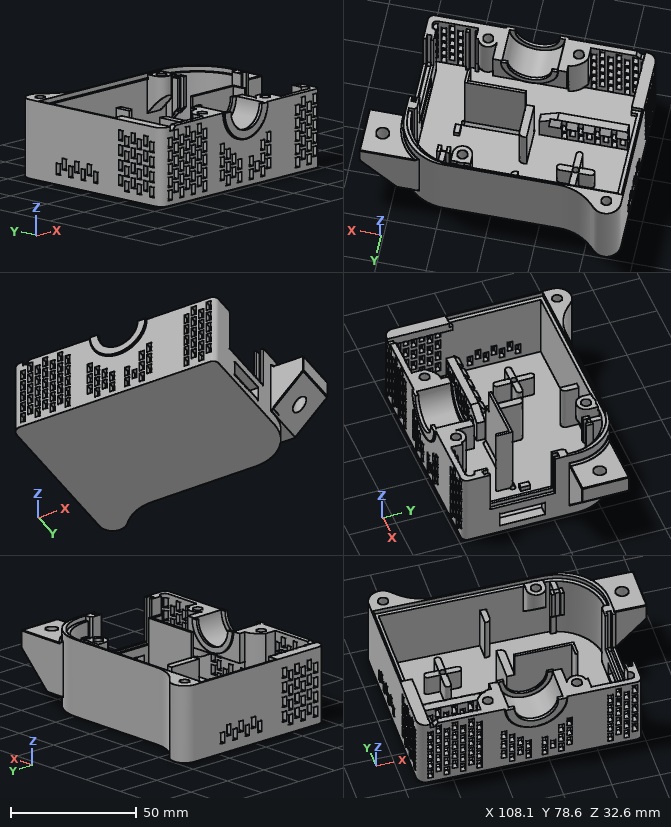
import cadquery as cq
import math

HEIGHT = 32.55
LENGTH = 93.2
DEPTH = 68.3
FLOOR = 2.0
WALL = 2.5
REAR_WALL = 2.2
FRONT_LEFT_RADIUS = 4.0
FRONT_RIGHT_RADIUS = 2.5
REAR_RIGHT_RADIUS = 20.0
SIN45 = math.sqrt(0.5)

EAR_RADIUS = 6.0
EAR_Y = 71.8
EAR_SWEEP_RADIUS = 20.0

SCREW_DIAMETER = 4.1
SCREW_DEPTH = 7.5

RIM = 0.7
RIM_RIGHT = 1.1
REBATE_DEPTH = 2.0
REBATE_CORNER_RADIUS = 21.0
REBATE_FRONT = 26.5
LIP_WIDTH = 5.0
LIP_BACK = 27.9
LIP_THICKNESS = 4.0
NOTCH_FLAT_END = 6.4
NOTCH_DEPTH = 1.8

SADDLE_X = 48.85
SADDLE_BACK = 16.3
SADDLE_FRONT = 0.79
SADDLE_FLANGE_RADIUS = 13.0
SADDLE_FLANGE_CHAMFER = 0.4
SADDLE_SHELL_RADIUS = 11.7
SADDLE_BORE_RADIUS = 11.3
SADDLE_MOUTH_RADIUS = 9.1
SADDLE_END_PLATE = 1.1
SADDLE_BORE_START = 0.65
SADDLE_BLOCK_HALF = 15.1
SADDLE_BLOCK_BACK = 15.5
SADDLE_BLOCK_BOTTOM = 20.0

FRONT_LEFT_BOSS = (30.7, 6.5)
FRONT_RIGHT_BOSS = (67.7, 6.4)
FRONT_RIGHT_BOSS_SIDE = 72.6
FRONT_RIGHT_BOSS_SHOULDER = 7.4
BOSS_RADIUS = 4.0
REAR_BOSS = (66.7, 62.0)
REAR_BOSS_CLEARANCE = 0.4
REAR_BOSS_FOOT = 16.5
FRONT_BOSS_BOTTOM = 13.6
LEFT_BOSS_ARC = ((26.6, 7.85), (29.2, 10.8), (32.8, 12.5))

POST_X = 88.9
POST_BACK = 44.9
POST_CHAMFER = 0.9
OPENING_FRONT = 11.7
OPENING_BACK = 39.2
SILL = 13.7
GROOVE_X = 90.0
GROOVE_WIDTH = 1.9
GROOVE_OVERRUN = 2.2
GROOVE_DEPTH = 3.0
GROOVE_CHAMFER = 1.1
RELIEF_RADIUS = 2.0
WINDOW_INSET = 4.1
WINDOW_BOTTOM = 3.4
WINDOW_HEIGHT = 6.4

BRACKET_END = 108.1
BRACKET_FRONT = 45.3
BRACKET_BACK = 65.4
BRACKET_TOP = 27.4
BRACKET_TIP = 19.8
BRACKET_HOLE = (100.6, 55.5)
BRACKET_HOLE_DIAMETER = 5.3
BRACKET_CHAMFER = 0.3
PAD_THICKNESS = 1.0
PAD_BOTTOM = 5.0
PAD_TOP = 28.3
PAD_CHAMFER = 0.8

PLATE_X = 44.6
PLATE_TOP = 22.0
FRONT_PLATE_WIDTH = 3.3
FRONT_PLATE_END = 42.5
REAR_PLATE_WIDTH = 2.6
REAR_PLATE_END = 59.0
PLATE_CORNER_RADIUS = 1.9
SCREEN_Y = 27.5
SCREEN_THICKNESS = 1.1
SCREEN_RIGHT = 72.7
SCREEN_RETURN_END = 21.8
SCREEN_TIP_RADIUS = 0.54
SCREEN_FOOT = 1.2

CROSS = (23.6, 47.0)
CROSS_SPAN_X = 15.4
CROSS_SPAN_Y = 17.2
CROSS_WIDTH = 2.7
CROSS_TOP = 11.4
CROSS_CORE_DIAMETER = 4.0
CROSS_HOLE_DIAMETER = 2.6

PARTITION_START = 6.5
PARTITION_FLAT_END = 35.1
PARTITION_END = 42.5
PARTITION_FRONT = 24.4
PARTITION_THICKNESS = 3.5
PARTITION_TOP = 15.3
PARTITION_END_TOP = 11.7
PARTITION_VENT_COLUMNS = 8
CATCH_COUNT = 5
CATCH_FIRST = 6.0
CATCH_PITCH = 6.8
CATCH_WIDTH = 4.8
CATCH_REACH = 2.25

GUIDE_X = 74.75
GUIDE_SLOT = 2.3
GUIDE_WIDTH = 5.1
GUIDE_BLOCK_FRONT = 58.3
GUIDE_SLOT_END = 61.2
GUIDE_TOP = 30.5
GUIDE_BOTTOM = 18.0
GUIDE_WEB = 1.3
GUIDE_LEAD_IN = 1.0
STEM_REACH = 1.5
FRONT_GUIDE_BACK = 3.9
STOP_Y = 33.0
STOP_LENGTH = 4.0
STOP_TOP = 4.0

VENT_WIDTH = 2.1
VENT_COLUMN_PITCH = 3.4
FRONT_VENT_X = 5.05
FRONT_VENT_Z = 4.35
FRONT_VENT_HEIGHT = 4.1
FRONT_VENT_ROW_PITCH = 5.4
FRONT_VENT_DEPTH = 3.5
LEFT_VENT_COLUMNS = 6
LEFT_VENT_ROWS = 4
LEFT_VENT_Y = 5.5
LEFT_VENT_Z = 5.6
LEFT_VENT_HEIGHT = 4.2
LEFT_VENT_ROW_PITCH = 6.17
LEFT_VENT_STAGGER = 1.95
LOW_VENT_COLUMNS = 7
LOW_VENT_Y = 36.1
LOW_VENT_Z = 6.5
LOW_VENT_HEIGHT = 4.6
LOW_VENT_STAGGER = 2.5
FRONT_VENT_STACKS = {
    **{column: 5 for column in range(7)},
    9: 3, 10: 3, 11: 2, 12: 2,
    14: 2, 15: 1, 16: 3, 17: 3,
    **{column: 5 for column in range(22, 26)},
}


def box(x0, x1, y0, y1, z0, z1):
    """Box between opposite corners."""
    return cq.Workplane("XY").box(x1 - x0, y1 - y0, z1 - z0, centered=False).translate((x0, y0, z0))


def cylinder_z(center, radius, z0, z1):
    """Upright cylinder."""
    return cq.Workplane("XY").workplane(offset=z0).center(*center).circle(radius).extrude(z1 - z0)


def cylinder_y(radius, y0, y1):
    """Cylinder along Y on the saddle axis."""
    return cq.Workplane("XZ", origin=(SADDLE_X, y0, HEIGHT)).circle(radius).extrude(y0 - y1)


def prism_x(points, x0, x1):
    """Prism along X from a (Y, Z) outline."""
    return cq.Workplane("YZ", origin=(x0, 0, 0)).polyline(points).close().extrude(x1 - x0)


def prism_y(points, y0, y1):
    """Prism along Y from an (X, Z) outline."""
    return cq.Workplane("XZ", origin=(0, y0, 0)).polyline(points).close().extrude(y0 - y1)


def rear_undercut(face_y, foot):
    """Wedge below a 45 degree underside that rises forwards from a foot at face_y."""
    reach = HEIGHT
    outline = [(face_y, 0), (face_y, foot), (face_y - reach, foot + reach), (face_y - reach, 0)]
    return prism_x(outline, 0, LENGTH)


def body_block():
    """Solid outer form with the ear swept into the rear wall."""
    ear_tangent = EAR_RADIUS * SIN45
    sweep = EAR_SWEEP_RADIUS
    line_sum = EAR_RADIUS + EAR_Y + 2 * ear_tangent
    sweep_x = line_sum - DEPTH + sweep * (1 / SIN45 - 1)
    sweep_y = DEPTH + sweep
    rear = REAR_RIGHT_RADIUS
    sweep_middle = math.radians(270 - 45 / 2)
    return (
        cq.Workplane("XY")
        .moveTo(0, 0)
        .lineTo(LENGTH, 0)
        .lineTo(LENGTH, DEPTH - rear)
        .radiusArc((LENGTH - rear, DEPTH), -rear)
        .lineTo(sweep_x, DEPTH)
        .threePointArc(
            (sweep_x + sweep * math.cos(sweep_middle), sweep_y + sweep * math.sin(sweep_middle)),
            (sweep_x - sweep * SIN45, sweep_y - sweep * SIN45),
        )
        .lineTo(EAR_RADIUS + ear_tangent, EAR_Y + ear_tangent)
        .threePointArc((EAR_RADIUS, EAR_Y + EAR_RADIUS), (0, EAR_Y))
        .close()
        .extrude(HEIGHT)
        .edges(cq.selectors.NearestToPointSelector((0, 0, HEIGHT / 2)))
        .fillet(FRONT_LEFT_RADIUS)
        .edges(cq.selectors.NearestToPointSelector((LENGTH, 0, HEIGHT / 2)))
        .fillet(FRONT_RIGHT_RADIUS)
    )


def inset_block(left, right, front, back, bottom, corner_radius):
    """Block reaching the top, with a rounded rear right corner."""
    block = box(left, right, front, back, bottom, HEIGHT)
    return block.edges("|Z and >X and >Y").fillet(corner_radius)


def cavity():
    """Interior space, narrowed by the thick right-hand post and the front left lip."""
    space = inset_block(WALL, LENGTH - WALL, WALL, DEPTH - REAR_WALL, FLOOR, REAR_RIGHT_RADIUS)
    post = box(POST_X, LENGTH, 0, POST_BACK, FLOOR, HEIGHT)
    post = post.edges("|Z and <X and >Y").chamfer(POST_CHAMFER)
    relief = cylinder_z((POST_X, WALL + RELIEF_RADIUS), RELIEF_RADIUS, FLOOR, HEIGHT)
    lip = box(0, LIP_WIDTH, 0, LIP_BACK, HEIGHT - LIP_THICKNESS, HEIGHT)
    return space.cut(post).union(relief).cut(lip)


def lid_rebate():
    """Step around the rear of the rim."""
    bottom = HEIGHT - REBATE_DEPTH
    ring = inset_block(RIM, LENGTH - RIM_RIGHT, REBATE_FRONT, DEPTH - RIM, bottom, REBATE_CORNER_RADIUS)
    front_right = box(LIP_WIDTH, LENGTH, 0, POST_BACK, 0, HEIGHT)
    return ring.cut(front_right)


def lip_notch():
    """Shallow notch through the front wall next to the lip, with one sloping end."""
    bottom = HEIGHT - NOTCH_DEPTH
    outline = [
        (LIP_WIDTH, HEIGHT),
        (LIP_WIDTH, bottom),
        (NOTCH_FLAT_END, bottom),
        (NOTCH_FLAT_END + NOTCH_DEPTH, HEIGHT),
    ]
    return prism_y(outline, 0, WALL)


def front_boss_block():
    """Saddle block with a flat-bottomed screw boss on each side."""
    block_left = SADDLE_X - SADDLE_BLOCK_HALF
    block_right = SADDLE_X + SADDLE_BLOCK_HALF
    arc_start, arc_middle, arc_end = LEFT_BOSS_ARC
    left_boss = (
        cq.Workplane("XY")
        .workplane(offset=FRONT_BOSS_BOTTOM)
        .moveTo(arc_start[0], 0)
        .lineTo(*arc_start)
        .threePointArc(arc_middle, arc_end)
        .lineTo(block_left, arc_end[1])
        .lineTo(block_left, 0)
        .close()
        .extrude(HEIGHT - FRONT_BOSS_BOTTOM)
    )
    side_box = box(
        block_right, FRONT_RIGHT_BOSS_SIDE,
        0, FRONT_RIGHT_BOSS_SHOULDER, FRONT_BOSS_BOTTOM, HEIGHT,
    )
    right_boss = cylinder_z(FRONT_RIGHT_BOSS, BOSS_RADIUS, FRONT_BOSS_BOTTOM, HEIGHT)
    bosses = left_boss.union(side_box).union(right_boss)
    middle = box(
        block_left, block_right,
        0, SADDLE_BLOCK_BACK, SADDLE_BLOCK_BOTTOM, HEIGHT,
    )
    shell = cylinder_y(SADDLE_SHELL_RADIUS, 0, SADDLE_BACK)
    flange = cylinder_y(SADDLE_FLANGE_RADIUS, -SADDLE_FRONT, 0)
    flange = flange.faces("<Y").edges().chamfer(SADDLE_FLANGE_CHAMFER)
    above = box(0, LENGTH, -SADDLE_FRONT, SADDLE_BACK, HEIGHT, 2 * HEIGHT)
    return bosses.union(middle).union(shell).union(flange).cut(above)


def saddle_bore():
    """Wide bore between two narrower end mouths."""
    wide = cylinder_y(SADDLE_BORE_RADIUS, SADDLE_BORE_START, SADDLE_BACK - SADDLE_END_PLATE)
    return wide.union(cylinder_y(SADDLE_MOUTH_RADIUS, -SADDLE_FRONT, SADDLE_BACK))


def rear_boss():
    """Screw boss on the rear wall with a 45 degree underside."""
    x, y = REAR_BOSS
    wall_face = DEPTH - REAR_WALL
    back = wall_face - REAR_BOSS_CLEARANCE
    boss = cylinder_z(REAR_BOSS, BOSS_RADIUS, FLOOR, HEIGHT)
    boss = boss.union(box(x - BOSS_RADIUS, x + BOSS_RADIUS, y, back, FLOOR, HEIGHT))
    boss = boss.union(box(x - BOSS_RADIUS, x + BOSS_RADIUS, y, wall_face, FLOOR, HEIGHT - REBATE_DEPTH))
    return boss.cut(rear_undercut(wall_face, REAR_BOSS_FOOT))


def screw_holes():
    """Blind screw holes in the ear and the bosses."""
    holes = cq.Workplane("XY")
    for center in ((EAR_RADIUS, EAR_Y), FRONT_LEFT_BOSS, FRONT_RIGHT_BOSS, REAR_BOSS):
        holes = holes.union(cylinder_z(center, SCREW_DIAMETER / 2, HEIGHT - SCREW_DEPTH, HEIGHT))
    return holes


def right_opening():
    """Opening above the sill, the panel groove around it and the window below it."""
    opening = box(POST_X, LENGTH, OPENING_FRONT, OPENING_BACK, SILL, HEIGHT)
    groove_front = OPENING_FRONT - GROOVE_OVERRUN
    groove_back = OPENING_BACK + GROOVE_OVERRUN
    bottom = SILL - GROOVE_DEPTH
    outline = [
        (groove_front, HEIGHT),
        (groove_front, bottom + GROOVE_CHAMFER),
        (groove_front + GROOVE_CHAMFER, bottom),
        (groove_back - GROOVE_CHAMFER, bottom),
        (groove_back, bottom + GROOVE_CHAMFER),
        (groove_back, HEIGHT),
    ]
    groove = prism_x(outline, GROOVE_X, GROOVE_X + GROOVE_WIDTH)
    window = box(
        POST_X, LENGTH, OPENING_FRONT + WINDOW_INSET, OPENING_BACK - WINDOW_INSET,
        WINDOW_BOTTOM, WINDOW_BOTTOM + WINDOW_HEIGHT,
    )
    return opening.union(groove).union(window)


def bracket():
    """Sloped bracket and the thin pad that follows the curved corner."""
    center = (LENGTH - REAR_RIGHT_RADIUS, DEPTH - REAR_RIGHT_RADIUS)
    start = center[0]
    slope_drop = BRACKET_END - start
    arm = prism_y(
        [
            (start, BRACKET_TOP),
            (BRACKET_END, BRACKET_TOP),
            (BRACKET_END, BRACKET_TIP),
            (start, BRACKET_TIP - slope_drop),
        ],
        BRACKET_FRONT, BRACKET_BACK,
    )
    arm = arm.faces(">X or <Y or >Y").edges("not <X").chamfer(BRACKET_CHAMFER)
    pad_span = box(start, BRACKET_END, BRACKET_FRONT, BRACKET_BACK, PAD_BOTTOM, PAD_TOP)
    pad = cylinder_z(center, REAR_RIGHT_RADIUS + PAD_THICKNESS, PAD_BOTTOM, PAD_TOP)
    straight_start = center[1] - REAR_RIGHT_RADIUS
    straight = box(start, LENGTH + PAD_THICKNESS, straight_start, center[1], PAD_BOTTOM, PAD_TOP)
    pad = pad.union(straight)
    pad = pad.faces("<Z or >Z").edges().chamfer(PAD_CHAMFER)
    above_pad_bottom = box(start, BRACKET_END, BRACKET_FRONT, BRACKET_BACK, PAD_BOTTOM, BRACKET_TOP)
    joined = arm.intersect(above_pad_bottom).union(pad.intersect(pad_span))
    hole = cylinder_z(BRACKET_HOLE, BRACKET_HOLE_DIAMETER / 2, 0, HEIGHT)
    return joined.cut(hole)


def plates():
    """Two upright plates in line, each with one rounded corner at its free end."""
    front = box(PLATE_X, PLATE_X + FRONT_PLATE_WIDTH, SCREEN_Y, FRONT_PLATE_END, FLOOR, PLATE_TOP)
    front = front.edges("|Z and >X and >Y").fillet(PLATE_CORNER_RADIUS)
    rear = box(PLATE_X, PLATE_X + REAR_PLATE_WIDTH, REAR_PLATE_END, DEPTH - REAR_WALL, FLOOR, PLATE_TOP)
    rear = rear.edges("|Z and >X and <Y").fillet(PLATE_CORNER_RADIUS)
    return front.union(rear)


def screen():
    """Thin L-shaped screen with a sloped foot along its long leg and a conical foot at the corner."""
    back = SCREEN_Y + SCREEN_THICKNESS
    start = PLATE_X + FRONT_PLATE_WIDTH
    leg = box(start, SCREEN_RIGHT, SCREEN_Y, back, FLOOR, HEIGHT)
    end = box(SCREEN_RIGHT - SCREEN_THICKNESS, SCREEN_RIGHT, SCREEN_RETURN_END, back, FLOOR, HEIGHT)
    end = end.edges("|Z and <Y").fillet(SCREEN_TIP_RADIUS)
    foot = prism_x(
        [(SCREEN_Y - SCREEN_FOOT, FLOOR), (SCREEN_Y, FLOOR + SCREEN_FOOT),
         (back, FLOOR + SCREEN_FOOT), (back + SCREEN_FOOT, FLOOR)],
        PLATE_X, SCREEN_RIGHT,
    )
    corner = cq.Solid.makeCone(SCREEN_FOOT, 0, SCREEN_FOOT, pnt=cq.Vector(SCREEN_RIGHT, back, FLOOR))
    return leg.union(end).union(foot).union(cq.Workplane(corner))


def cross_post():
    """Cross-shaped post with a round core and a pilot hole."""
    base = cq.Workplane("XY").workplane(offset=FLOOR).center(*CROSS)
    rise = CROSS_TOP - FLOOR
    arms = base.slot2D(CROSS_SPAN_X, CROSS_WIDTH).extrude(rise)
    arms = arms.union(base.slot2D(CROSS_SPAN_Y, CROSS_WIDTH, 90).extrude(rise))
    core = cylinder_z(CROSS, CROSS_CORE_DIAMETER / 2, FLOOR, CROSS_TOP)
    return arms.union(core).cut(cylinder_z(CROSS, CROSS_HOLE_DIAMETER / 2, FLOOR, CROSS_TOP))


def partition():
    """Low partition with a sloping end and a row of wedge-shaped catches behind it."""
    back = PARTITION_FRONT + PARTITION_THICKNESS
    wall = prism_y(
        [
            (PARTITION_START, FLOOR),
            (PARTITION_START, PARTITION_TOP),
            (PARTITION_FLAT_END, PARTITION_TOP),
            (PARTITION_END, PARTITION_END_TOP),
            (PARTITION_END, FLOOR),
        ],
        PARTITION_FRONT, back,
    )
    wall = wall.cut(partition_vents())
    for number in range(CATCH_COUNT):
        start = CATCH_FIRST + number * CATCH_PITCH
        catch = prism_x(
            [(back, PARTITION_TOP),
             (back + CATCH_REACH, PARTITION_TOP - CATCH_REACH),
             (back, PARTITION_TOP - 2 * CATCH_REACH)],
            start, start + CATCH_WIDTH,
        )
        wall = wall.union(catch)
    return wall


def card_guides():
    """Forked guide on the rear wall, its stem, two short front rails and a floor stop."""
    left = GUIDE_X - GUIDE_SLOT / 2
    right = GUIDE_X + GUIDE_SLOT / 2
    outer_left = GUIDE_X - GUIDE_WIDTH / 2
    outer_right = GUIDE_X + GUIDE_WIDTH / 2
    back = DEPTH - RIM_RIGHT
    web_face = GUIDE_SLOT_END - GUIDE_WEB
    stem = box(left, right, GUIDE_SLOT_END, back, FLOOR, GUIDE_TOP)
    head = box(outer_left, outer_right, GUIDE_BLOCK_FRONT, GUIDE_SLOT_END, FLOOR, GUIDE_TOP)
    slot = box(left, right, GUIDE_BLOCK_FRONT, web_face, FLOOR, GUIDE_TOP)
    lead_in = prism_x(
        [(web_face, GUIDE_TOP - GUIDE_LEAD_IN), (web_face + GUIDE_LEAD_IN, GUIDE_TOP), (web_face, GUIDE_TOP)],
        left, right,
    )
    foot_y = DEPTH - REAR_WALL - STEM_REACH
    foot_z = GUIDE_BOTTOM - (foot_y - GUIDE_BLOCK_FRONT)
    guides = stem.union(head.cut(slot).cut(lead_in)).cut(rear_undercut(foot_y, foot_z))
    for start, end in ((outer_left, left), (right, outer_right)):
        guides = guides.union(box(start, end, WALL, FRONT_GUIDE_BACK, FLOOR, GUIDE_TOP))
    stop = box(left, right, STOP_Y - STOP_LENGTH / 2, STOP_Y + STOP_LENGTH / 2, FLOOR, STOP_TOP)
    return guides.union(stop)


def front_vent(column, row, y0, y1):
    """One vent of the staggered front grid, between two Y positions."""
    x = FRONT_VENT_X + column * VENT_COLUMN_PITCH
    lift = (column % 2) * FRONT_VENT_ROW_PITCH / 2
    z = FRONT_VENT_Z + lift + row * FRONT_VENT_ROW_PITCH
    vent = cq.Workplane("XY").box(VENT_WIDTH, y1 - y0, FRONT_VENT_HEIGHT)
    return vent.translate((x, (y0 + y1) / 2, z))


def front_vents():
    """Staggered vents through the front wall."""
    vents = cq.Workplane("XY")
    for column, count in FRONT_VENT_STACKS.items():
        for row in range(count):
            vents = vents.add(front_vent(column, row, -FRONT_VENT_DEPTH, FRONT_VENT_DEPTH))
    return vents.combine()


def partition_vents():
    """Vents of the same grid through the partition, stopping below its top edge."""
    vents = cq.Workplane("XY")
    back = PARTITION_FRONT + PARTITION_THICKNESS
    for column in range(1, 1 + PARTITION_VENT_COLUMNS):
        for row in range(2 + column % 2):
            vents = vents.add(front_vent(column, row, PARTITION_FRONT, back))
    return vents.combine()


def left_vents():
    """Staggered grid of vents and one low zigzag row through the left wall."""
    vents = cq.Workplane("XY")
    for column in range(LEFT_VENT_COLUMNS):
        y = LEFT_VENT_Y + column * VENT_COLUMN_PITCH
        lift = (column % 2) * LEFT_VENT_STAGGER
        for row in range(LEFT_VENT_ROWS):
            z = LEFT_VENT_Z + lift + row * LEFT_VENT_ROW_PITCH
            vent = cq.Workplane("XY").box(2 * WALL, VENT_WIDTH, LEFT_VENT_HEIGHT)
            vents = vents.add(vent.translate((0, y, z)))
    for column in range(LOW_VENT_COLUMNS):
        y = LOW_VENT_Y + column * VENT_COLUMN_PITCH
        z = LOW_VENT_Z + (column % 2) * LOW_VENT_STAGGER
        vent = cq.Workplane("XY").box(2 * WALL, VENT_WIDTH, LOW_VENT_HEIGHT)
        vents = vents.add(vent.translate((0, y, z)))
    return vents.combine()


shell = body_block().union(bracket()).cut(cavity())
inside = front_boss_block().union(plates()).union(screen())
inside = inside.union(cross_post()).union(partition()).union(card_guides())
result = (
    shell.union(inside)
    .cut(lid_rebate())
    .union(rear_boss())
    .cut(lip_notch())
    .cut(saddle_bore())
    .cut(screw_holes())
    .cut(right_opening())
    .cut(front_vents())
    .cut(left_vents())
)